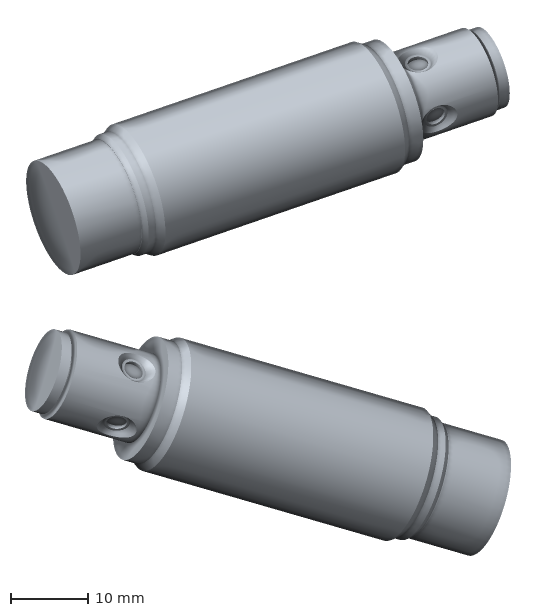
import cadquery as cq

length = 63.5
body_radius = 18.0 / 2
collar_radius = 8.3
nose_radius = 7.8
lip_radius = 7.9
stem_radius = 6.05
cap_radius = 5.5

nose_end = 8.9
lip_end = 9.0
front_collar_start = 9.65
front_collar_end = 10.7
body_start = 11.75

cap_depth = 1.4
neck_depth = 2.0
stem_depth = 14.0
rear_collar_depth = 15.95
body_end_depth = 16.95

neck_cap_radius = 4.05
neck_stem_radius = 4.4

hole_count = 4
hole_y = length - 10.55
sink_mouth_radius = 2.65
sink_floor_radius = 1.7
sink_floor_height = stem_radius - (sink_mouth_radius - sink_floor_radius)
hole_radius = 1.35
core_radius = 4.7
sink_overshoot = 0.65


def make_body():
    profile = [
        (0, 0),
        (nose_radius, 0),
        (nose_radius, nose_end),
        (lip_radius, nose_end),
        (lip_radius, lip_end),
        (collar_radius, front_collar_start),
        (collar_radius, front_collar_end),
        (body_radius, body_start),
        (body_radius, length - body_end_depth),
        (collar_radius, length - rear_collar_depth),
        (collar_radius, length - stem_depth),
        (stem_radius, length - stem_depth),
        (stem_radius, length - neck_depth),
        (neck_stem_radius, length - neck_depth),
        (neck_cap_radius, length - cap_depth),
        (cap_radius, length - cap_depth),
        (cap_radius, length),
        (0, length),
    ]
    return cq.Workplane("XY").polyline(profile).close().revolve(360, (0, 0), (0, 1))


def make_hole_cutter():
    """Stepped 45 degree countersink with its axis along +Z, at the hole station."""
    top = stem_radius + sink_overshoot
    profile = [
        (0, 0),
        (hole_radius, 0),
        (hole_radius, sink_floor_height),
        (sink_floor_radius, sink_floor_height),
        (sink_mouth_radius + sink_overshoot, top),
        (0, top),
    ]
    cutter = cq.Workplane("XZ").polyline(profile).close().revolve(360, (0, 0), (0, 1))
    core = cq.Workplane("XZ").circle(core_radius).extrude(sink_mouth_radius, both=True)
    return cutter.cut(core).translate((0, hole_y, 0))


result = make_body()
hole_cutter = make_hole_cutter()
for index in range(hole_count):
    angle = index * 360 / hole_count
    result = result.cut(hole_cutter.rotate((0, 0, 0), (0, 1, 0), angle))